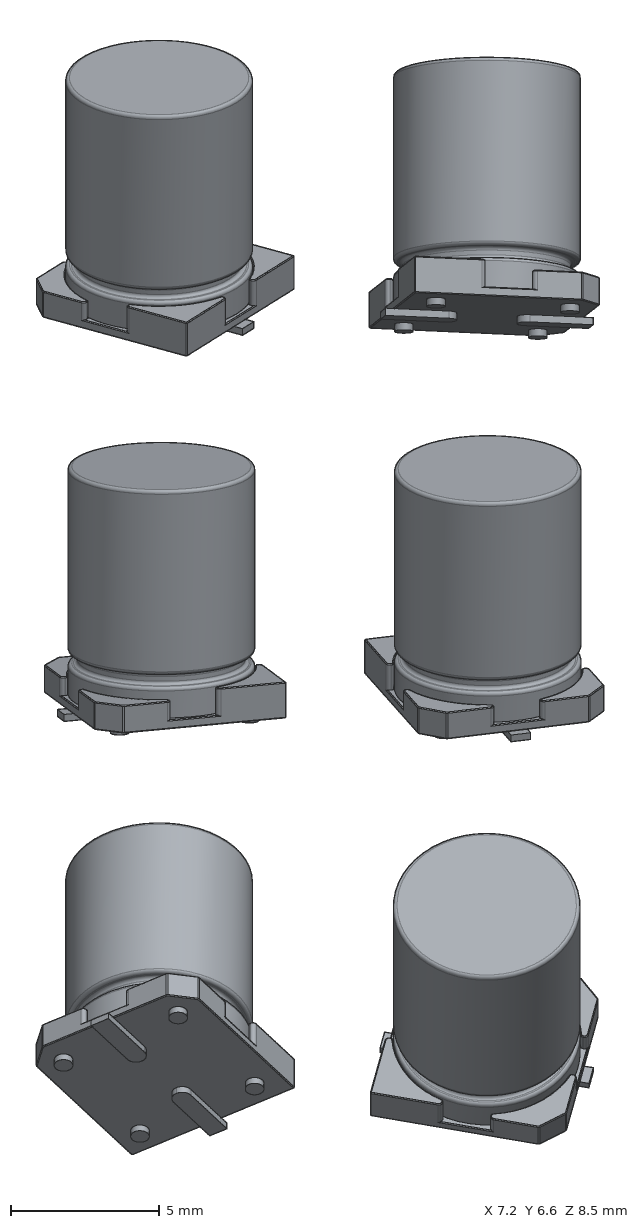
import cadquery as cq
import math

total_height = 8.5
lead_span = 7.2
base_width = 6.6

can_radius = 6.3 / 2
neck_radius = 5.67 / 2
can_fillet = 0.13
crimp_fillet = 0.13
bead_z = 1.505
neck_height = 0.16

base_bottom = 0.25
floor_z = 0.56
low_post_z = 1.215
high_post_z = bead_z
corner_cut = 0.77
notch_width = 1.65
pocket_gap = 0.025
tip_outer_fillet = 0.14
tip_inner_fillet = 0.085
edge_break = 0.03

foot_diameter = 0.63
foot_offset = 2.32
lead_width = 0.7
lead_inner_x = 1.05
round_end_flat = 0.001

half_width = base_width / 2
pocket_radius = can_radius + pocket_gap


def make_can():
    """Revolve the can, with the crimp groove and rounded shoulders."""
    shoulder_radius = can_radius - crimp_fillet
    crimp_radius = neck_radius + crimp_fillet
    bead_top = bead_z + crimp_fillet
    neck_bottom = bead_top + crimp_fillet
    neck_top = neck_bottom + neck_height
    groove_top = neck_top + crimp_fillet
    wall_bottom = groove_top + crimp_fillet
    return (
        cq.Workplane("XZ")
        .moveTo(0, floor_z)
        .lineTo(can_radius, floor_z)
        .lineTo(can_radius, bead_z)
        .radiusArc((shoulder_radius, bead_top), -crimp_fillet)
        .lineTo(crimp_radius, bead_top)
        .radiusArc((neck_radius, neck_bottom), crimp_fillet)
        .lineTo(neck_radius, neck_top)
        .radiusArc((crimp_radius, groove_top), crimp_fillet)
        .lineTo(shoulder_radius, groove_top)
        .radiusArc((can_radius, wall_bottom), -crimp_fillet)
        .lineTo(can_radius, total_height - can_fillet)
        .radiusArc((can_radius - can_fillet, total_height), -can_fillet)
        .lineTo(0, total_height)
        .close()
        .revolve(360, (0, 0), (0, 1))
    )


def base_prism(bottom, top):
    """Square prism of the base with its two -X corners cut off."""
    return (
        cq.Workplane("XY")
        .workplane(offset=bottom)
        .rect(base_width, base_width)
        .extrude(top - bottom)
        .edges("|Z and <X")
        .chamfer(corner_cut)
        .edges("|Z")
        .chamfer(edge_break)
    )


def make_floor():
    """Floor slab under the can and posts, with its rims broken."""
    return base_prism(base_bottom, floor_z).faces("<Z or >Z").edges().chamfer(edge_break)


def upright_edges(solid, x, y):
    """Select the vertical edge of the solid that passes through (x, y)."""
    reach = 0.01
    column = cq.selectors.BoxSelector(
        (x - reach, y - reach, 0),
        (x + reach, y + reach, total_height),
    )
    return solid.edges("|Z").edges(column)


def make_post(x_side, y_side, top):
    """Corner post around the can, standing on the base, with rounded tips."""
    notch_half = notch_width / 2
    quarter = (
        cq.Workplane("XY")
        .box(half_width, half_width, top, centered=False)
        .translate((notch_half, notch_half, 0))
    )
    if x_side < 0:
        quarter = quarter.mirror("YZ")
    if y_side < 0:
        quarter = quarter.mirror("XZ")
    pocket = cq.Workplane("XY").circle(pocket_radius).extrude(top)
    post = base_prism(base_bottom + edge_break, top).intersect(quarter).cut(pocket)

    tip_inner = math.sqrt(pocket_radius**2 - notch_half**2)
    for distance, fillet in ((half_width, tip_outer_fillet), (tip_inner, tip_inner_fillet)):
        for x, y in ((distance, notch_half), (notch_half, distance)):
            post = upright_edges(post, x_side * x, y_side * y).fillet(fillet)
    return post.faces(">Z").edges().chamfer(edge_break)


def make_lead(side):
    """Flat lead with a fully rounded inner end, pointing to +X or -X."""
    lead = (
        cq.Workplane("XY")
        .box(lead_span / 2 - lead_inner_x, lead_width, base_bottom, centered=(False, True, False))
        .translate((lead_inner_x, 0, 0))
        .edges("|Z and <X")
        .fillet((lead_width - round_end_flat) / 2)
    )
    return lead if side > 0 else lead.mirror("YZ")


def make_feet():
    """Four round feet on a square pattern."""
    return (
        cq.Workplane("XY")
        .rect(2 * foot_offset, 2 * foot_offset, forConstruction=True)
        .vertices()
        .circle(foot_diameter / 2)
        .extrude(base_bottom)
    )


result = make_floor().union(make_can()).union(make_feet())
for x_side, post_top in ((-1, low_post_z), (1, high_post_z)):
    result = result.union(make_lead(x_side))
    for y_side in (-1, 1):
        result = result.union(make_post(x_side, y_side, post_top))